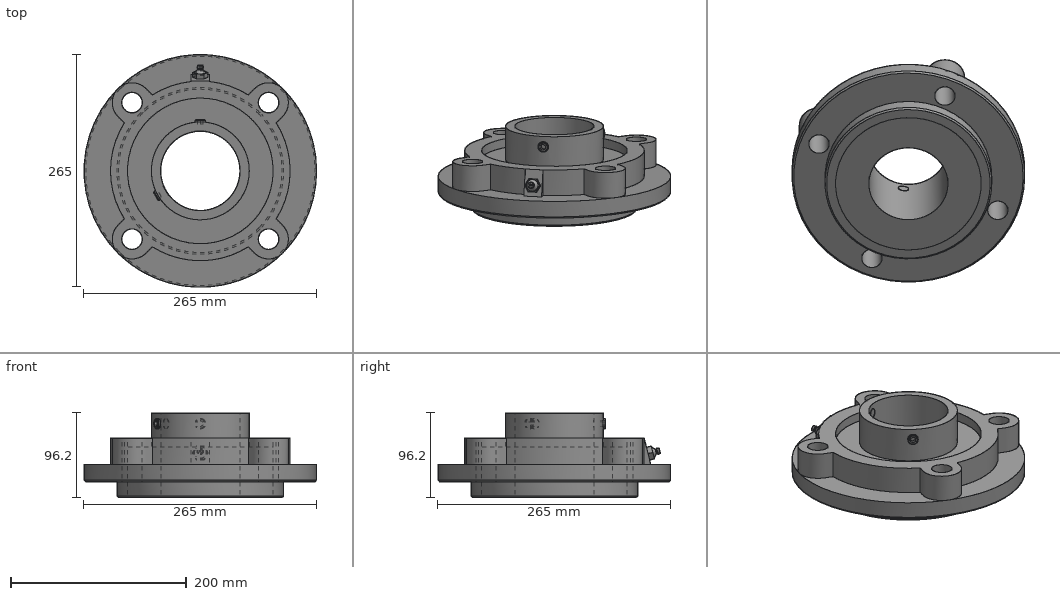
import cadquery as cq
import math

flange_bottom = 18.0
flange_top = 38.0
ring_top = 67.8
recess_floor = 57.5
sleeve_top = 96.2

flange_diameter = 265.0
spigot_diameter = 190.0
edge_chamfer = 1.9
ring_diameter = 204.5
seat_diameter = 166.0
lug_radius = 22.5
lug_reach = flange_diameter / 2 - lug_radius
bolt_hole_diameter = 23.0
lug_angles = (45, 135, 225, 315)

pad_width = 20.7
pad_foot = 7.5
nipple_height = 50.0
nipple_root = 2.0
hex_flats = 15.0
hex_length = 5.5
cone_base_diameter = 13.5
neck_diameter = 5.8
cone_end = 9.0
neck_end = 10.3
bulge_diameter = 7.5
bulge_position = 10.9
tip_diameter = 6.0
nipple_length = 13.8
tip_hole_diameter = 2.0
tip_hole_depth = 2.6

sleeve_diameter = 111.5
bore_diameter = 90.0
screw_angles = (90, 210)
screw_drop = 12.0
screw_diameter = 12.0
screw_end_diameter = 10.0
screw_clearance = 0.3
screw_protrusion = 2.6
socket_flats = 6.0
socket_depth = 5.3


def hex_corners(flats):
    """Across-corners size of a hexagon of the given across-flats size."""
    return flats / math.cos(math.radians(30))


def disc(diameter, bottom, top):
    return cq.Workplane("XY").workplane(offset=bottom).circle(diameter / 2).extrude(top - bottom)


def make_lug(angle):
    """Straight-sided arm from the axis, ending in a round lug."""
    height = ring_top - flange_top
    base = cq.Workplane("XY").workplane(offset=flange_top)
    arm = base.center(lug_reach / 2, 0).rect(lug_reach, 2 * lug_radius).extrude(height)
    end = base.center(lug_reach, 0).circle(lug_radius).extrude(height)
    return arm.union(end).rotate((0, 0, 0), (0, 0, 1), angle)


def make_pad():
    """Wedge that slopes from the top edge of the ring out to the flange."""
    ring_radius = ring_diameter / 2
    inner = ring_radius - pad_foot
    return (
        cq.Workplane("YZ")
        .moveTo(inner, flange_top)
        .lineTo(ring_radius + pad_foot, flange_top)
        .lineTo(ring_radius, ring_top)
        .lineTo(inner, ring_top)
        .close()
        .extrude(pad_width / 2, both=True)
    )


def make_nipple():
    """Grease nipple square to the pad face."""
    pad_height = ring_top - flange_top
    face_y = ring_diameter / 2 + pad_foot * (ring_top - nipple_height) / pad_height
    seat = cq.Plane(origin=(0, face_y, nipple_height), xDir=(1, 0, 0), normal=(0, pad_height, pad_foot))
    hexagon = (
        cq.Workplane(seat)
        .workplane(offset=-nipple_root)
        .polygon(6, hex_corners(hex_flats))
        .extrude(nipple_root + hex_length)
    )
    profile = cq.Workplane(cq.Plane(origin=seat.origin, xDir=seat.xDir, normal=-seat.yDir))
    head = (
        profile
        .moveTo(0, 0)
        .lineTo(cone_base_diameter / 2, 0)
        .lineTo(cone_base_diameter / 2, hex_length)
        .lineTo(neck_diameter / 2, cone_end)
        .lineTo(neck_diameter / 2, neck_end)
        .lineTo(bulge_diameter / 2, bulge_position)
        .lineTo(tip_diameter / 2, nipple_length)
        .lineTo(0, nipple_length)
        .close()
        .revolve(360, (0, 0), (0, 1))
    )
    tip_hole = (
        cq.Workplane(seat)
        .workplane(offset=nipple_length - tip_hole_depth)
        .circle(tip_hole_diameter / 2)
        .extrude(tip_hole_depth)
    )
    return hexagon.union(head).cut(tip_hole)


def make_housing():
    flange = disc(flange_diameter, flange_bottom, flange_top).faces("<Z").chamfer(edge_chamfer)
    spigot = disc(spigot_diameter, 0, flange_top).faces("<Z").chamfer(edge_chamfer)
    body = flange.union(spigot).union(disc(ring_diameter, flange_top, ring_top))
    for angle in lug_angles:
        body = body.union(make_lug(angle))
    body = body.union(make_pad()).union(make_nipple())
    bolt_holes = (
        cq.Workplane("XY")
        .polarArray(lug_reach, lug_angles[0], 360, len(lug_angles))
        .circle(bolt_hole_diameter / 2)
        .extrude(ring_top)
    )
    return body.cut(disc(seat_diameter, 0, ring_top)).cut(bolt_holes)


def screw_plane(angle, radius):
    """Plane facing outward across a set screw axis, with vertical local Y."""
    outward = cq.Vector(math.cos(math.radians(angle)), math.sin(math.radians(angle)), 0)
    centre = outward * radius + cq.Vector(0, 0, sleeve_top - screw_drop)
    return cq.Plane(origin=centre, xDir=cq.Vector(0, 0, 1).cross(outward), normal=outward)


def make_set_screw(angle):
    """Set screw with a chamfered outer end and a hexagon socket."""
    tip_radius = bore_diameter / 2 + screw_clearance
    end_radius = sleeve_diameter / 2 + screw_protrusion
    end_chamfer = (screw_diameter - screw_end_diameter) / 2
    shank = (
        cq.Workplane(screw_plane(angle, tip_radius))
        .circle(screw_diameter / 2)
        .extrude(end_radius - tip_radius)
    )
    socket = (
        cq.Workplane(screw_plane(angle, end_radius - socket_depth))
        .transformed(rotate=(0, 0, 90))
        .polygon(6, hex_corners(socket_flats))
        .extrude(socket_depth)
    )
    shank = shank.faces(cq.DirectionMinMaxSelector(screw_plane(angle, 0).zDir)).chamfer(end_chamfer)
    return shank.cut(socket)


def make_screw_hole(angle):
    return (
        cq.Workplane(screw_plane(angle, 0))
        .circle(screw_diameter / 2)
        .extrude(sleeve_diameter / 2 + screw_protrusion)
    )


def make_insert():
    body = disc(seat_diameter, 0, recess_floor).union(disc(sleeve_diameter, recess_floor, sleeve_top))
    body = body.cut(disc(bore_diameter, 0, sleeve_top))
    for angle in screw_angles:
        body = body.cut(make_screw_hole(angle)).union(make_set_screw(angle))
    return body


housing = make_housing()
bearing_insert = make_insert()
result = cq.Compound.makeCompound([housing.val(), bearing_insert.val()])